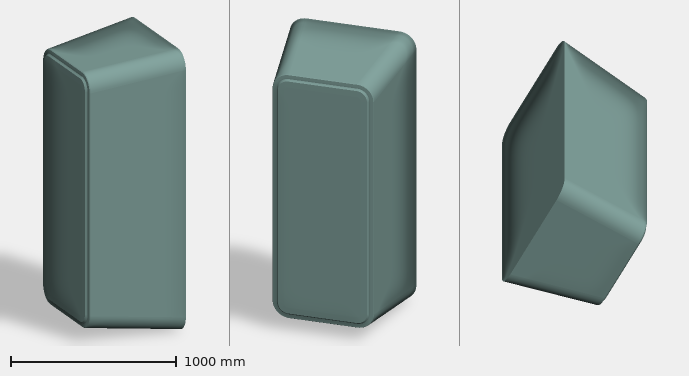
import cadquery as cq

REAR_WIDTH = 799.0
REAR_HEIGHT = 1800.0
TOTAL_DEPTH = 620.0
CORNER_RADIUS = 105.0

SIDE_INSET = 80.0

RIM_WIDTH = 4.0
RIM_RISE = 5.0
FLANGE_WIDTH = 25.0
FLANGE_RISE = 0.9
BEVEL_WIDTH = 10.0
BEVEL_RISE = 13.0
BORDER_WIDTH = 40.0
BORDER_RISE = 0.9

cover_depth = RIM_RISE + FLANGE_RISE + BEVEL_RISE + BORDER_RISE
rear_y = TOTAL_DEPTH / 2
joint_y = cover_depth - TOTAL_DEPTH / 2
housing_depth = rear_y - joint_y
joint_width = REAR_WIDTH - 2 * SIDE_INSET
joint_height = REAR_HEIGHT - 2 * SIDE_INSET


def rounded_rectangle(width, height, radius):
    return cq.Sketch().rect(width, height).vertices().fillet(radius)


def cover_outline(inset):
    """Joint outline moved inward; all insets share the same corner centres."""
    return rounded_rectangle(joint_width - 2 * inset, joint_height - 2 * inset, CORNER_RADIUS - inset)


def tapered_layer(start_y, start_outline, end_outline, length):
    """Straight-sided solid between two outlines, running from start_y toward the front."""
    end_place = cq.Location(cq.Vector(0, 0, length))
    return (
        cq.Workplane("XZ", origin=(0, start_y, 0))
        .placeSketch(start_outline, end_outline.moved(end_place))
        .loft(ruled=True)
    )


def make_housing():
    """Solid tapered block whose corners keep one radius from rear to front."""
    rear_outline = rounded_rectangle(REAR_WIDTH, REAR_HEIGHT, CORNER_RADIUS)
    joint_outline = rounded_rectangle(joint_width, joint_height, CORNER_RADIUS)
    return tapered_layer(rear_y, rear_outline, joint_outline, housing_depth)


def make_cover():
    """Sloped rim, shallow flange, bevel and shallow border around a flat front panel."""
    layers = [
        (RIM_WIDTH, RIM_RISE),
        (FLANGE_WIDTH, FLANGE_RISE),
        (BEVEL_WIDTH, BEVEL_RISE),
        (BORDER_WIDTH, BORDER_RISE),
    ]
    cover = cq.Workplane("XZ")
    layer_y = joint_y
    inset = 0
    for width, rise in layers:
        layer = tapered_layer(layer_y, cover_outline(inset), cover_outline(inset + width), rise)
        cover = cover.add(layer)
        layer_y -= rise
        inset += width
    return cover.combine().solids()


housing = make_housing()
cover = make_cover()

result = cq.Compound.makeCompound([housing.val(), cover.val()])